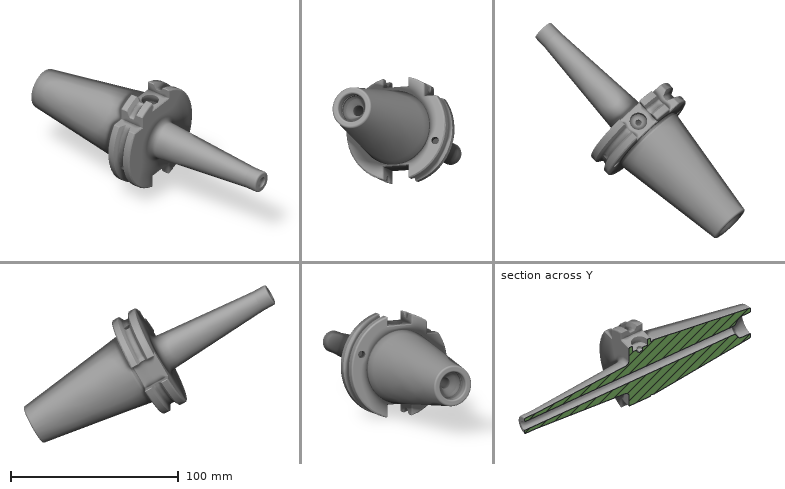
import cadquery as cq
import math


gauge_radius = 44.45 / 2
taper_ratio = 7 / 48
shank_length = 68.4
shank_end_fillet = 1.2
taper_run_out = 0.7
relief_start = 1.7
relief_depth = 0.25

flange_start = 3.2
flange_end = 19.1
flange_radius = 63.55 / 2
flange_fillet = 1.0
groove_center = 11.1
groove_half_width = 3.55
groove_root_radius = 28.4
groove_flank_angle = 30
groove_root_fillet = 1.1

nose_end = 94.0
tip_radius = 6.5
tip_length = 8.1
tip_fillet = 1.0
neck_radius = 11.3
neck_fillet = 2.8

mouth_fillet = 1.0
mouth_radius = 8.5
mouth_depth = 6.0
thread_radius = 8.3
thread_length = 1.8
thread_core_radius = 7.0
coolant_radius = 3.3
drill_point_half_angle = 59

drive_notch_width = 16.1
upper_notch_floor = 25.0
lower_notch_floor = 22.8
corner_notch_y = -18.4
corner_notch_z = 18.4
notch_chamfer = 0.5

pocket_radius = 5.2
pocket_depth = 4.6
pocket_pilot_radius = 1.8
pocket_pilot_depth = 2.0

coolant_hole_angle = 20
face_hole_radius = 2.25
face_hole_pitch_radius = 26.9
face_hole_slant = 20
face_hole_depth = 15.0
groove_hole_radius = 1.85
groove_hole_inner_end = 22.0


def revolve_about_axis(outline):
    return outline.close().revolve(360, (0, 0, 0), (1, 0, 0))


def make_shank():
    end_radius = gauge_radius - shank_length * taper_ratio
    relief_radius = gauge_radius - relief_depth
    outline = (
        cq.Workplane("XZ")
        .moveTo(-shank_length, 0)
        .lineTo(-shank_length, end_radius)
        .lineTo(taper_run_out, gauge_radius + taper_run_out * taper_ratio)
        .lineTo(relief_start, gauge_radius + taper_run_out * taper_ratio)
        .lineTo(relief_start + relief_depth, relief_radius)
        .lineTo(flange_start, relief_radius)
        .lineTo(flange_start, 0)
    )
    return revolve_about_axis(outline).faces("<X").edges().fillet(shank_end_fillet)


def make_flange():
    outline = (
        cq.Workplane("XZ")
        .moveTo(flange_start, 0)
        .lineTo(flange_start, flange_radius)
        .lineTo(flange_end, flange_radius)
        .lineTo(flange_end, 0)
    )
    disc = revolve_about_axis(outline).edges().fillet(flange_fillet)
    return disc.cut(make_gripper_groove())


def make_gripper_groove():
    angle = math.radians(groove_flank_angle)
    depth = flange_radius - groove_root_radius
    corner_half_width = groove_half_width - depth * math.tan(angle)
    tangent_length = groove_root_fillet * math.tan((math.pi / 2 - angle) / 2)
    root_half_width = corner_half_width - tangent_length
    fillet_half_width = corner_half_width + tangent_length * math.sin(angle)
    fillet_top_radius = groove_root_radius + tangent_length * math.cos(angle)
    outline = (
        cq.Workplane("XZ")
        .moveTo(groove_center - groove_half_width, flange_radius)
        .lineTo(groove_center - fillet_half_width, fillet_top_radius)
        .radiusArc((groove_center - root_half_width, groove_root_radius), -groove_root_fillet)
        .lineTo(groove_center + root_half_width, groove_root_radius)
        .radiusArc((groove_center + fillet_half_width, fillet_top_radius), -groove_root_fillet)
        .lineTo(groove_center + groove_half_width, flange_radius)
    )
    return revolve_about_axis(outline)


def make_nose():
    outline = (
        cq.Workplane("XZ")
        .moveTo(flange_end, 0)
        .lineTo(flange_end, neck_radius + neck_fillet)
        .radiusArc((flange_end + neck_fillet, neck_radius), -neck_fillet)
        .lineTo(nose_end - tip_length, tip_radius)
        .lineTo(nose_end, tip_radius)
        .lineTo(nose_end, 0)
    )
    return revolve_about_axis(outline).faces(">X").edges().fillet(tip_fillet)


def make_bore():
    mouth = -shank_length
    thread_start = mouth + mouth_depth
    thread_end = thread_start + thread_length
    core_start = thread_end + thread_radius - thread_core_radius
    point_length = (thread_core_radius - coolant_radius) / math.tan(math.radians(drill_point_half_angle))
    outline = (
        cq.Workplane("XZ")
        .moveTo(mouth, 0)
        .lineTo(mouth, mouth_radius + mouth_fillet)
        .radiusArc((mouth + mouth_fillet, mouth_radius), -mouth_fillet)
        .lineTo(thread_start, mouth_radius)
        .lineTo(thread_start, thread_radius)
        .lineTo(thread_end, thread_radius)
        .lineTo(core_start, thread_core_radius)
        .lineTo(core_start + point_length, coolant_radius)
        .lineTo(nose_end, coolant_radius)
        .lineTo(nose_end, 0)
    )
    return revolve_about_axis(outline)


def make_notch(y_range, z_range, rim_corners):
    """Rectangular slot along X, chamfered at both flange faces and where its walls meet the rim."""
    y_min, y_max = y_range
    z_min, z_max = z_range

    def rectangle(x, margin):
        return (
            cq.Workplane("YZ")
            .workplane(offset=x)
            .center((y_min + y_max) / 2, (z_min + z_max) / 2)
            .rect(y_max - y_min + 2 * margin, z_max - z_min + 2 * margin)
        )

    flange_width = flange_end - flange_start
    notch = rectangle(flange_start, 0).extrude(flange_width)
    rear = rectangle(flange_start, notch_chamfer).extrude(notch_chamfer, taper=45)
    front = rectangle(flange_end, notch_chamfer).extrude(-notch_chamfer, taper=45)
    notch = notch.union(rear).union(front)
    for y, z in rim_corners:
        diamond = (
            cq.Workplane("YZ")
            .workplane(offset=flange_start)
            .center(y, z)
            .polygon(4, 2 * notch_chamfer)
            .extrude(flange_width)
        )
        notch = notch.union(diamond)
    return notch


def rim_offset(offset):
    """Distance along one axis at which the flange rim lies for a given offset along the other."""
    return math.sqrt(flange_radius**2 - offset**2)


def make_notches():
    beyond = flange_radius + 5
    half_width = drive_notch_width / 2
    drive_rim_z = rim_offset(half_width)
    upper = make_notch(
        (-half_width, half_width),
        (upper_notch_floor, beyond),
        [(-half_width, drive_rim_z), (half_width, drive_rim_z)],
    )
    lower = make_notch(
        (-half_width, half_width),
        (-beyond, -lower_notch_floor),
        [(-half_width, -drive_rim_z), (half_width, -drive_rim_z)],
    )
    corner = make_notch(
        (-beyond, corner_notch_y),
        (corner_notch_z, beyond),
        [(corner_notch_y, rim_offset(corner_notch_y)), (-rim_offset(corner_notch_z), corner_notch_z)],
    )
    return [upper, lower, corner]


def make_pocket():
    point_length = pocket_pilot_radius / math.tan(math.radians(drill_point_half_angle))
    floor = upper_notch_floor - pocket_depth
    outline = (
        cq.Workplane("XZ")
        .moveTo(0, upper_notch_floor)
        .lineTo(pocket_radius, upper_notch_floor)
        .lineTo(pocket_radius, floor)
        .lineTo(pocket_pilot_radius, floor)
        .lineTo(pocket_pilot_radius, floor - pocket_pilot_depth)
        .lineTo(0, floor - pocket_pilot_depth - point_length)
        .close()
    )
    pocket = outline.revolve(360, (0, 0, 0), (0, 1, 0))
    return pocket.translate((groove_center, 0, 0))


def make_coolant_holes():
    """Slanted holes from the rear flange face, each met by a radial hole from the groove."""
    slant = math.radians(face_hole_slant)
    direction = cq.Vector(math.cos(slant), -math.sin(slant), 0)
    entry = cq.Vector(flange_start, face_hole_pitch_radius, 0)
    overshoot = 2
    slanted = cq.Solid.makeCylinder(
        face_hole_radius, face_hole_depth + overshoot, entry - direction * overshoot, direction
    )
    radial = cq.Solid.makeCylinder(
        groove_hole_radius,
        flange_radius - groove_hole_inner_end,
        cq.Vector(groove_center, groove_hole_inner_end, 0),
        cq.Vector(0, 1, 0),
    )
    holes = []
    for angle in (coolant_hole_angle, coolant_hole_angle + 180):
        for hole in (slanted, radial):
            holes.append(hole.rotate(cq.Vector(0, 0, 0), cq.Vector(1, 0, 0), angle))
    return holes


result = make_shank().union(make_flange()).union(make_nose())
for cutter in [make_bore(), *make_notches(), make_pocket(), *make_coolant_holes()]:
    result = result.cut(cutter)